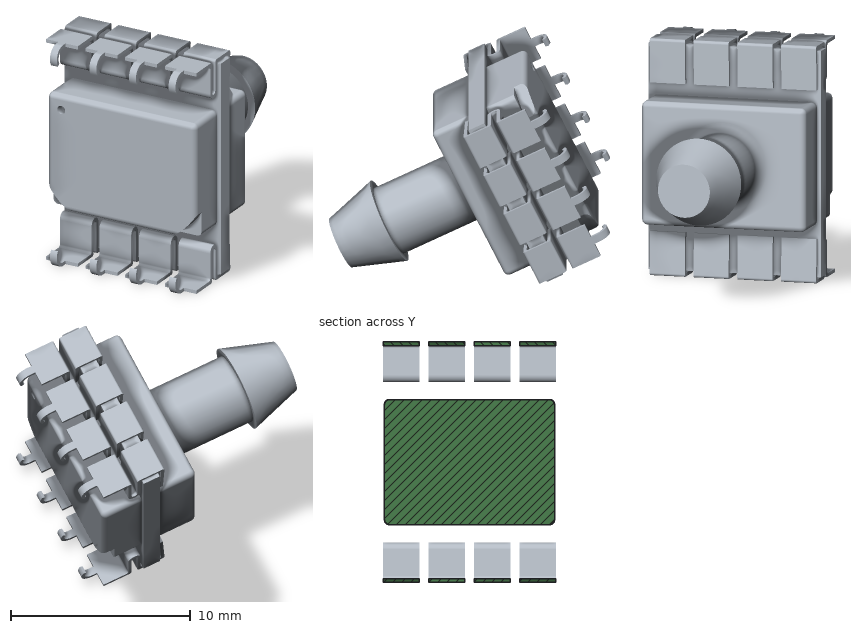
import cadquery as cq
import math


plate_width = 10.0
plate_height = 12.79
plate_thickness = 1.0

cap_width = 9.5
cap_height = 6.99
cap_depth = 2.41
cap_rounding = 0.31

notch_leg = 1.49
notch_bulge = 0.13
notch_depth = 0.7

dimple_diameter = 0.5
dimple_inset = 0.9
dimple_depth = 0.5

port_length = 7.92
port_radius = 2.0
barb_length = 3.0
barb_base_radius = 2.46
barb_tip_radius = 1.5
port_root_radius = 0.5

leads_per_row = 4
lead_pitch = 2.53
lead_width = 2.03
lead_thickness = 0.2
lead_clearance = 0.095
bend_radius = 0.15
back_leg_gap = 0.19
back_leg_length = 2.5
back_leg_tilt = 2.5
loop_inner_radius = 0.18
loop_drop = 2.24
tab_width = 0.44
tab_straight = 0.28
hook_radius = 0.69
hook_dip = 36.0

cap_front = -cap_depth
cap_back = plate_thickness + cap_depth
lead_top = plate_height / 2 + lead_clearance + lead_thickness
lead_under = lead_top - lead_thickness


def make_cap(base, direction):
    """Cap standing on the plate at Y = base, rounded on its sides and outer face."""
    centre_y = base + direction * cap_depth / 2
    outer_face = ">Y" if direction > 0 else "<Y"
    block = cq.Workplane("XY").box(cap_width, cap_depth, cap_height).translate((0, centre_y, 0))
    return block.edges("|Y").fillet(cap_rounding).faces(outer_face).edges().fillet(cap_rounding)


def make_notch(side):
    """Cutter for one lower corner of the front cap; its wall bows out towards the corner."""
    corner_x = side * cap_width / 2
    corner_z = -cap_height / 2
    bow_inset = notch_leg / 2 - notch_bulge / math.sqrt(2)
    return (
        cq.Workplane("XZ", origin=(0, cap_front + notch_depth, 0))
        .moveTo(corner_x, corner_z)
        .lineTo(corner_x, corner_z + notch_leg)
        .threePointArc(
            (corner_x - side * bow_inset, corner_z + bow_inset),
            (corner_x - side * notch_leg, corner_z),
        )
        .close()
        .extrude(notch_depth)
    )


def make_dimple():
    """Cutter for the round mark near the upper left corner of the front cap."""
    return (
        cq.Workplane("XZ", origin=(0, cap_front + dimple_depth, 0))
        .center(-cap_width / 2 + dimple_inset, cap_height / 2 - dimple_inset)
        .circle(dimple_diameter / 2)
        .extrude(dimple_depth)
    )


def make_port():
    """Port turned about the Y axis: flared root, plain tube and tapered barb."""
    tip = cap_back + port_length
    barb_base = tip - barb_length
    root_top = cap_back + port_root_radius
    arc_reach = port_root_radius * (1 - math.sqrt(0.5))
    return (
        cq.Workplane("YZ")
        .moveTo(cap_back, 0)
        .lineTo(cap_back, port_radius + port_root_radius)
        .threePointArc((cap_back + arc_reach, port_radius + arc_reach), (root_top, port_radius))
        .lineTo(barb_base, port_radius)
        .lineTo(barb_base, barb_base_radius)
        .lineTo(tip, barb_tip_radius)
        .lineTo(tip, 0)
        .close()
        .revolve(360, (0, 0, 0), (1, 0, 0))
    )


def make_housing():
    """Plate, both caps and the port as one solid."""
    plate = (
        cq.Workplane("XY")
        .box(plate_width, plate_thickness, plate_height)
        .translate((0, plate_thickness / 2, 0))
    )
    front_cap = make_cap(0, -1).cut(make_notch(-1)).cut(make_notch(1)).cut(make_dimple())
    back_cap = make_cap(plate_thickness, 1)
    return plate.union(front_cap).union(back_cap).union(make_port())


def make_lead_strip():
    """Wide strip that hooks over the plate edge, loops down in front and runs forward."""
    back_outer = plate_thickness + back_leg_gap + lead_thickness
    back_inner = back_outer - lead_thickness
    front_inner = -lead_clearance
    front_outer = front_inner - lead_thickness
    loop_centre = front_outer - loop_inner_radius
    loop_outer_radius = loop_inner_radius + lead_thickness
    riser_inner = loop_centre - loop_inner_radius
    riser_outer = loop_centre - loop_outer_radius
    loop_z = lead_top - loop_drop + loop_outer_radius

    tilt = math.radians(back_leg_tilt)
    tip_shift = back_leg_length * math.tan(tilt)
    tip_rise = lead_thickness * math.tan(tilt)
    tip_z = lead_top - back_leg_length

    strip = (
        cq.Workplane("YZ")
        .moveTo(back_outer - tip_shift, tip_z)
        .lineTo(back_outer, lead_top)
        .lineTo(front_outer, lead_top)
        .lineTo(front_outer, loop_z)
        .threePointArc((loop_centre, loop_z - loop_inner_radius), (riser_inner, loop_z))
        .lineTo(riser_inner, lead_top)
        .lineTo(cap_front, lead_top)
        .lineTo(cap_front, lead_under)
        .lineTo(riser_outer, lead_under)
        .lineTo(riser_outer, loop_z)
        .threePointArc((loop_centre, loop_z - loop_outer_radius), (front_inner, loop_z))
        .lineTo(front_inner, lead_under)
        .lineTo(back_inner, lead_under)
        .lineTo(back_inner - tip_shift, tip_z + tip_rise)
        .close()
        .extrude(lead_width / 2, both=True)
    )
    margin = lead_thickness / 2
    bend_zone = cq.selectors.BoxSelector(
        (-lead_width, riser_outer - margin, lead_under - margin),
        (lead_width, back_outer + margin, lead_top + margin),
    )
    return strip.edges("|X").edges(bend_zone).fillet(bend_radius)


def make_lead_tab():
    """Narrow tab on the front of the strip, curling down and back in a hook."""
    hook_y = cap_front - tab_straight
    hook_z = lead_top - hook_radius
    inner_radius = hook_radius - lead_thickness
    middle_angle = (90 - hook_dip) / 2

    def on_hook(radius, angle):
        turn = math.radians(angle)
        return (hook_y - radius * math.cos(turn), hook_z + radius * math.sin(turn))

    return (
        cq.Workplane("YZ")
        .moveTo(cap_front, lead_top)
        .lineTo(hook_y, lead_top)
        .threePointArc(on_hook(hook_radius, middle_angle), on_hook(hook_radius, -hook_dip))
        .lineTo(*on_hook(inner_radius, -hook_dip))
        .threePointArc(on_hook(inner_radius, middle_angle), (hook_y, lead_under))
        .lineTo(cap_front, lead_under)
        .close()
        .extrude(tab_width / 2, both=True)
    )


def make_leads():
    """Both rows of leads; the bottom row mirrors the top row."""
    upper_lead = make_lead_strip().union(make_lead_tab())
    lower_lead = upper_lead.mirror("XY")
    leads = []
    for index in range(leads_per_row):
        x = (index - (leads_per_row - 1) / 2) * lead_pitch
        for lead in (upper_lead, lower_lead):
            leads.append(lead.translate((x, 0, 0)).val())
    return leads


housing = make_housing()
leads = make_leads()

result = cq.Compound.makeCompound([housing.val(), *leads])